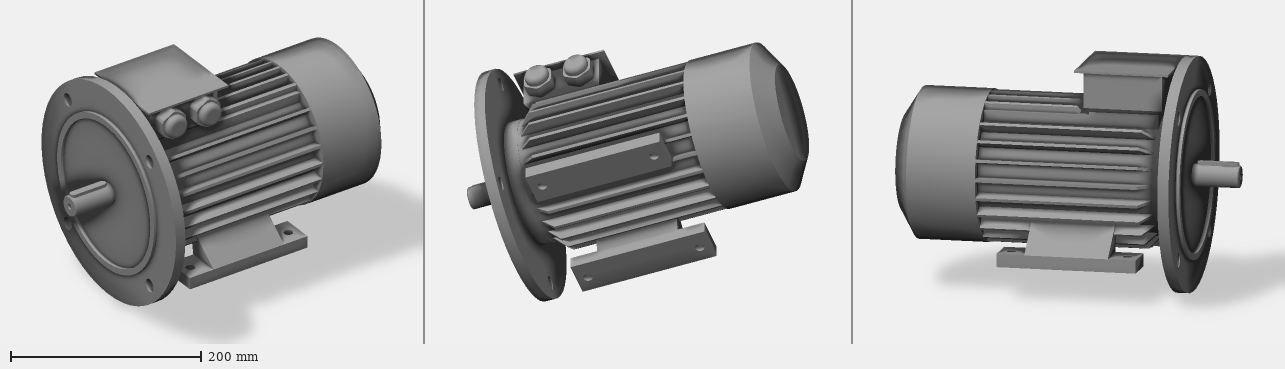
import cadquery as cq
import math


FLANGE_DIA = 250
FLANGE_THICKNESS = 12
FLANGE_HOLE_DIA = 15
FLANGE_BOLT_CIRCLE = 215
SPIGOT_DIA = 180
SPIGOT_BORE_DIA = 166
SPIGOT_HEIGHT = 4

SHAFT_DIA = 24
SHAFT_LENGTH = 50
SHAFT_CHAMFER = 1
KEY_WIDTH = 8
KEY_LENGTH = 45
KEY_TOP_Z = 15
KEY_SETBACK = 4
CENTRE_HOLE_DIA = 6.65
CENTRE_HOLE_DEPTH = 19
DRILL_TIP_ANGLE = 120

NECK_DIA = 134
NECK_END_Y = 27
BODY_DIA = 133
COVER_DIA = 162
COVER_START_Y = 218
COVER_CONE_Y = 292
COVER_END_Y = 310
COVER_END_DIA = 105

FIN_TIP_RADIUS = 80
FIN_THICKNESS = 3.3
FIN_FRONT_Y = 31
FIN_PITCH_ANGLE = 15
FIRST_FIN_ANGLE = -45
LAST_FIN_ANGLE = 225
TOP_FIN_PITCH = 15
TOP_FINS_PER_SIDE = 2
TOP_FIN_START_Y = 115
TOP_FIN_BEVEL = 4.5

BOX_CENTRE_Y = 67.3
BOX_SIZE = 84.5
BOX_BASE_SIZE = 75
BOX_BASE_TOP_Z = 70.5
BOX_TAPER = 5
LID_SIZE = 101
LID_BOTTOM_Z = 114.5
LID_THICKNESS = 2.5
PAD_TOP_Z = 66.8

GLAND_SPACING = 43.5
GLAND_HEX_FLATS = 30
GLAND_HEX_ROUND_DIA = 33
GLAND_CENTRE_Z = 95
GLAND_HEX_LENGTH = 13.5
GLAND_CAP_DIA = 26.14
GLAND_CAP_LENGTH = 8.5
GLAND_CAP_FILLET = 5

SHAFT_HEIGHT = 90
FOOT_THICKNESS = 14
FOOT_OUTER_X = 87.5
FOOT_WIDTH = 37.5
FOOT_LENGTH = 150
FOOT_CENTRE_Y = 118.5
FOOT_HOLE_DIA = 10
FOOT_HOLE_X = 70
FOOT_HOLE_PITCH = 125
WEB_LENGTH = 90
WEB_TOP_X = 44
WEB_SLOPE_ANGLE = 39


def axial_cylinder(diameter, start_y, end_y):
    """Solid cylinder on the motor axis between two Y positions."""
    return (
        cq.Workplane("XZ", origin=(0, start_y, 0))
        .circle(diameter / 2)
        .extrude(start_y - end_y)
    )


def block(x_range, y_range, z_range):
    """Axis-aligned box given by its lower and upper limits."""
    corner = (x_range[0], y_range[0], z_range[0])
    size = (x_range[1] - x_range[0], y_range[1] - y_range[0], z_range[1] - z_range[0])
    return cq.Workplane("XY").box(*size, centered=False).translate(corner)


def square_block(size, bottom_z, top_z):
    """Square box centred on the terminal box position."""
    return (
        cq.Workplane("XY", origin=(0, BOX_CENTRE_Y, bottom_z))
        .rect(size, size)
        .extrude(top_z - bottom_z)
    )


def make_flange():
    bolt_pitch = FLANGE_BOLT_CIRCLE / math.sqrt(2)
    holes = (
        cq.Workplane("XZ")
        .rect(bolt_pitch, bolt_pitch, forConstruction=True)
        .vertices()
        .circle(FLANGE_HOLE_DIA / 2)
        .extrude(-FLANGE_THICKNESS)
    )
    ring = axial_cylinder(SPIGOT_DIA, -SPIGOT_HEIGHT, 0).cut(
        axial_cylinder(SPIGOT_BORE_DIA, -SPIGOT_HEIGHT, 0)
    )
    return axial_cylinder(FLANGE_DIA, 0, FLANGE_THICKNESS).cut(holes).union(ring)


def make_shaft():
    shaft = axial_cylinder(SHAFT_DIA, -SHAFT_LENGTH, 0).faces("<Y").chamfer(SHAFT_CHAMFER)
    key = (
        cq.Workplane("XY", origin=(0, -KEY_SETBACK - KEY_LENGTH / 2, 0))
        .slot2D(KEY_LENGTH, KEY_WIDTH, 90)
        .extrude(KEY_TOP_Z)
    )

    hole_radius = CENTRE_HOLE_DIA / 2
    hole_end_y = CENTRE_HOLE_DEPTH - SHAFT_LENGTH
    tip_length = hole_radius / math.tan(math.radians(DRILL_TIP_ANGLE / 2))
    hole = (
        cq.Workplane("XY")
        .polyline([
            (0, -SHAFT_LENGTH),
            (hole_radius, -SHAFT_LENGTH),
            (hole_radius, hole_end_y),
            (0, hole_end_y + tip_length),
        ])
        .close()
        .revolve(360, (0, 0, 0), (0, 1, 0))
    )
    return shaft.union(key).cut(hole)


def make_housing():
    """Neck, body and conical fan cover as one revolved profile."""
    profile = [
        (0, FLANGE_THICKNESS),
        (NECK_DIA / 2, FLANGE_THICKNESS),
        (NECK_DIA / 2, NECK_END_Y),
        (BODY_DIA / 2, NECK_END_Y),
        (BODY_DIA / 2, COVER_START_Y),
        (COVER_DIA / 2, COVER_START_Y),
        (COVER_DIA / 2, COVER_CONE_Y),
        (COVER_END_DIA / 2, COVER_END_Y),
        (0, COVER_END_Y),
    ]
    return cq.Workplane("XY").polyline(profile).close().revolve(360, (0, 0, 0), (0, 1, 0))


def fin_envelope(front_y, front_radius):
    """Revolved limit of the fins: a tip cylinder with a 45 degree cone at the front."""
    profile = [
        (0, front_y),
        (front_radius, front_y),
        (FIN_TIP_RADIUS, front_y + FIN_TIP_RADIUS - front_radius),
        (FIN_TIP_RADIUS, COVER_START_Y),
        (0, COVER_START_Y),
    ]
    return cq.Workplane("XY").polyline(profile).close().revolve(360, (0, 0, 0), (0, 1, 0))


def make_radial_fins():
    """Fins around the sides and the bottom of the body."""
    half = FIN_THICKNESS / 2
    fin = block((0, FIN_TIP_RADIUS + half), (FIN_FRONT_Y, COVER_START_Y), (-half, half))
    fins = cq.Workplane("XY")
    for angle in range(FIRST_FIN_ANGLE, LAST_FIN_ANGLE + 1, FIN_PITCH_ANGLE):
        fins = fins.union(fin.rotate((0, 0, 0), (0, 1, 0), angle))
    return fins.intersect(fin_envelope(FIN_FRONT_Y, BODY_DIA / 2))


def make_top_fins():
    """Parallel upright fins behind the terminal box."""
    half = FIN_THICKNESS / 2
    fins = cq.Workplane("XY")
    for index in range(-TOP_FINS_PER_SIDE, TOP_FINS_PER_SIDE + 1):
        x = index * TOP_FIN_PITCH
        fin = block((x - half, x + half), (TOP_FIN_START_Y, COVER_START_Y), (0, FIN_TIP_RADIUS))
        fins = fins.union(fin)
    return fins.intersect(fin_envelope(TOP_FIN_START_Y, FIN_TIP_RADIUS - TOP_FIN_BEVEL))


def make_terminal_box():
    half_base = BOX_BASE_SIZE / 2
    front_y = BOX_CENTRE_Y - half_base
    body_bottom_z = BOX_BASE_TOP_Z + BOX_TAPER
    pad = block((-half_base, half_base), (front_y, COVER_START_Y), (0, PAD_TOP_Z))
    base = square_block(BOX_BASE_SIZE, 0, BOX_BASE_TOP_Z)
    taper = (
        cq.Workplane("XY", origin=(0, BOX_CENTRE_Y, BOX_BASE_TOP_Z))
        .rect(BOX_BASE_SIZE, BOX_BASE_SIZE)
        .workplane(offset=BOX_TAPER)
        .rect(BOX_SIZE, BOX_SIZE)
        .loft(ruled=True)
    )
    body = square_block(BOX_SIZE, body_bottom_z, LID_BOTTOM_Z)
    lid = square_block(LID_SIZE, LID_BOTTOM_Z, LID_BOTTOM_Z + LID_THICKNESS)
    return pad.union(base).union(taper).union(body).union(lid)


def make_gland(centre_y):
    """Hexagon with rounded corners and a domed cap, pointing toward +X."""
    plane = cq.Workplane("YZ", origin=(BOX_SIZE / 2, centre_y, GLAND_CENTRE_Z))
    corner_dia = GLAND_HEX_FLATS / math.cos(math.pi / 6)
    hexagon = (
        plane.transformed(rotate=(0, 0, 90))
        .polygon(6, corner_dia)
        .extrude(GLAND_HEX_LENGTH)
        .intersect(plane.circle(GLAND_HEX_ROUND_DIA / 2).extrude(GLAND_HEX_LENGTH))
    )
    cap = (
        plane.workplane(offset=GLAND_HEX_LENGTH)
        .circle(GLAND_CAP_DIA / 2)
        .extrude(GLAND_CAP_LENGTH)
        .faces(">X")
        .edges()
        .fillet(GLAND_CAP_FILLET)
    )
    return hexagon.union(cap)


def make_foot():
    """Foot plate on the -X side with its sloping web."""
    top_z = FOOT_THICKNESS - SHAFT_HEIGHT
    inner_x = FOOT_OUTER_X - FOOT_WIDTH
    plate = block(
        (-FOOT_OUTER_X, -inner_x),
        (FOOT_CENTRE_Y - FOOT_LENGTH / 2, FOOT_CENTRE_Y + FOOT_LENGTH / 2),
        (-SHAFT_HEIGHT, top_z),
    )
    holes = (
        cq.Workplane("XY", origin=(-FOOT_HOLE_X, FOOT_CENTRE_Y, -SHAFT_HEIGHT))
        .rarray(1, FOOT_HOLE_PITCH, 1, 2)
        .circle(FOOT_HOLE_DIA / 2)
        .extrude(FOOT_THICKNESS)
    )
    web_rise = (FOOT_OUTER_X - WEB_TOP_X) * math.tan(math.radians(WEB_SLOPE_ANGLE))
    web = (
        cq.Workplane("XZ", origin=(0, FOOT_CENTRE_Y, 0))
        .polyline([(-FOOT_OUTER_X, top_z), (-inner_x, top_z), (-WEB_TOP_X, top_z + web_rise)])
        .close()
        .extrude(WEB_LENGTH / 2, both=True)
    )
    return plate.cut(holes).union(web)


foot = make_foot()
parts = [
    make_radial_fins(),
    make_top_fins(),
    make_flange(),
    make_shaft(),
    make_terminal_box(),
    make_gland(BOX_CENTRE_Y - GLAND_SPACING / 2),
    make_gland(BOX_CENTRE_Y + GLAND_SPACING / 2),
    foot,
    foot.mirror("YZ"),
]
result = make_housing()
for part in parts:
    result = result.union(part)